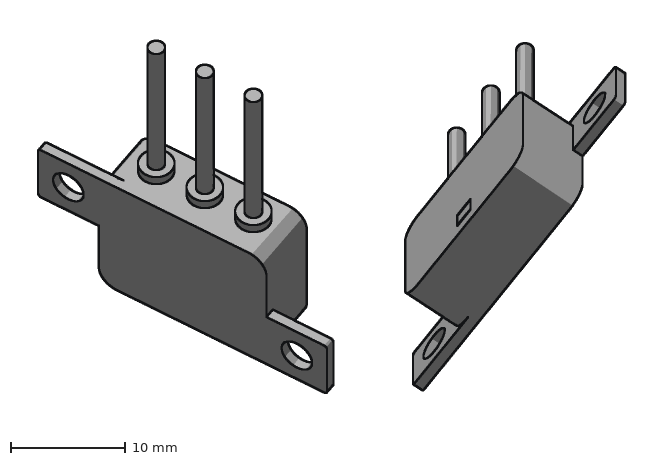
import cadquery as cq

overall_length = 30.23
ear_length = 6.35
ear_height = 6.3
ear_thickness = 1.03
ear_corner_radius = 0.35
ear_hole_diameter = 3.17

body_length = overall_length - 2 * ear_length
body_depth = 6.47
body_corner_radius = 1.9

overall_height = 30.1
lead_length = 16.4
lead_diameter = 1.57
lead_pitch = 5.08
lead_count = 3
lead_y = 3.57
collar_diameter = 3.2
collar_height = 0.95

body_height = overall_height - lead_length

overall_depth = 6.5
mark_size = 2.0
mark_height = overall_depth - body_depth
mark_z = body_corner_radius + mark_size / 2


def make_body():
    """Block with its four front-to-back edges rounded."""
    block = cq.Workplane("XY").box(
        body_length, body_depth, body_height, centered=(True, False, False)
    )
    return block.edges("|Y").fillet(body_corner_radius)


def make_ear(side):
    """Drilled ear that overlaps the rounded body corner; side -1 is upper left, +1 is lower right."""
    overlap = body_corner_radius
    outer_x = side * overall_length / 2
    centre_x = side * (overall_length - ear_length - overlap) / 2
    outer_face = ">X" if side > 0 else "<X"
    bottom_z = 0 if side > 0 else body_height - ear_height
    ear = (
        cq.Workplane("XY")
        .box(ear_length + overlap, ear_thickness, ear_height, centered=(True, False, False))
        .translate((centre_x, 0, bottom_z))
        .faces(outer_face)
        .edges("|Y")
        .fillet(ear_corner_radius)
    )
    hole = (
        cq.Workplane("XZ")
        .center(outer_x - side * ear_length / 2, bottom_z + ear_height / 2)
        .circle(ear_hole_diameter / 2)
        .extrude(-ear_thickness)
    )
    return ear.cut(hole)


def make_lead(x):
    """Round lead with a collar at its foot."""
    foot = cq.Workplane("XY", origin=(x, lead_y, body_height))
    collar = foot.circle(collar_diameter / 2).extrude(collar_height)
    pin = foot.circle(lead_diameter / 2).extrude(lead_length)
    return collar.union(pin)


def make_mark():
    """Thin square pad on the back face."""
    return (
        cq.Workplane("XZ", origin=(0, body_depth, mark_z))
        .rect(mark_size, mark_size)
        .extrude(-mark_height)
    )


result = make_body()
for ear_side in (-1, 1):
    result = result.union(make_ear(ear_side))
for lead_index in range(lead_count):
    lead_x = (lead_index - (lead_count - 1) / 2) * lead_pitch
    result = result.union(make_lead(lead_x))
result = result.union(make_mark())